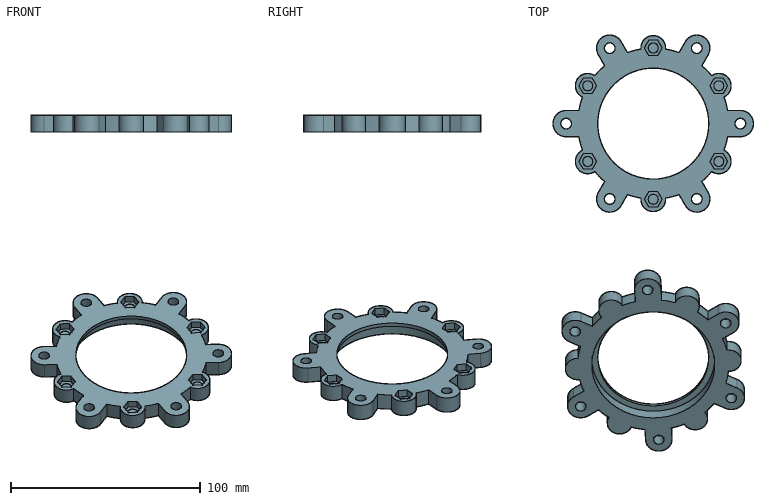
import cadquery as cq
import math

overall_length = 106
thickness = 9.0
ring_radius = 40.0
bore_diameter = 58.5
seat_diameter = 65.0
lip_height = 2.0

lug_count = 6
lug_radius = 7.0
lug_hole_diameter = 5.5
lug_hole_offset = overall_length / 2 - lug_radius

boss_radius = 6.6
nut_across_flats = 8.2
nut_across_corners = nut_across_flats / math.cos(math.radians(30))
nut_pocket_depth = 4.0
recess_diameter = 5.3
recess_depth = 0.2

lug_spacing = 360 / lug_count
lug_angles = [i * lug_spacing for i in range(lug_count)]
boss_angles = [angle + lug_spacing / 2 for angle in lug_angles]


def polar_points(radius, angles):
    """Points at the given angles on a circle about the ring axis."""
    return [
        (radius * math.cos(math.radians(angle)), radius * math.sin(math.radians(angle)))
        for angle in angles
    ]


def cylinders(centers, diameter, height):
    """Upright cylinders that stand on the bottom plane."""
    return cq.Workplane("XY").pushPoints(centers).circle(diameter / 2).extrude(height)


def lug(angle):
    """Straight-sided arm from the ring centre with a rounded outer end."""
    arm = cq.Workplane("XY").center(lug_hole_offset / 2, 0)
    arm = arm.rect(lug_hole_offset, 2 * lug_radius).extrude(thickness)
    tip = cylinders([(lug_hole_offset, 0)], 2 * lug_radius, thickness)
    return arm.union(tip).rotate((0, 0, 0), (0, 0, 1), angle)


ring_center = [(0, 0)]
lug_centers = polar_points(lug_hole_offset, lug_angles)
boss_centers = polar_points(ring_radius, boss_angles)

body = cylinders(ring_center, 2 * ring_radius, thickness)
for lug_angle in lug_angles:
    body = body.union(lug(lug_angle))
body = body.union(cylinders(boss_centers, 2 * boss_radius, thickness))

body = body.cut(cylinders(ring_center, bore_diameter, thickness))
body = body.cut(cylinders(ring_center, seat_diameter, thickness - lip_height))

body = body.cut(cylinders(lug_centers, lug_hole_diameter, thickness))

boss_tops = cq.Workplane("XY").workplane(offset=thickness).pushPoints(boss_centers)
nut_pockets = boss_tops.polygon(6, nut_across_corners).extrude(-nut_pocket_depth)
recesses = boss_tops.circle(recess_diameter / 2).extrude(-(nut_pocket_depth + recess_depth))

result = body.cut(nut_pockets).cut(recesses)